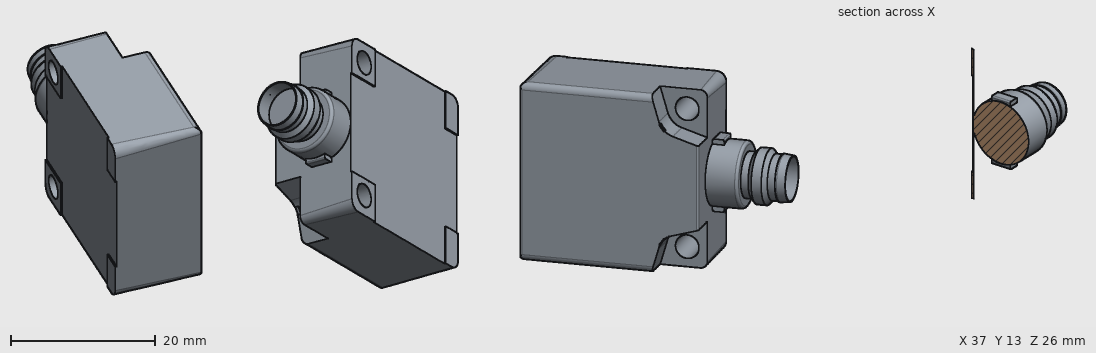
import cadquery as cq
import math


total_length = 37.0
housing_side = 26.0
housing_depth = 13.0
front_corner_radius = 1.48
back_corner_radius = 0.8
draft_inset = 0.1
long_back_round = 0.95
short_back_round = 0.25

pad_height = 0.22
pad_width_near = 5.7
pad_width_far = 3.0
pad_length = 5.6

hole_diameter = 3.4
hole_inset = 3.0
ear_thickness = 8.75
notch_radius = 2.92
notch_angle = 16.5

slot_angle = 36.0
slot_width = 1.15
slot_depth = 0.07
slot_length = 0.55

axis_y = 5.0
tip_radius = 3.25
lip_radius = 3.4
neck_radius = 3.3
ring_radius = 4.0
collar_radius = 4.77
lip_start = 1.22
lip_end = 1.45
ring_foot_start = 2.55
ring_start = 3.22
ring_end = 4.65
ring_foot_end = 5.33
collar_start = 6.4
collar_round = 0.45
bore_radius = 3.1
bore_depth = 2.5

key_start = 9.32
key_width = 3.2
key_reach = 5.25
key_round = 0.22

half_side = housing_side / 2
half_back = half_side - draft_inset
housing_left = total_length - housing_side
housing_mid = housing_left + half_side
hole_x = housing_left + hole_inset
hole_z = half_side - hole_inset
overlap = 0.37


def box(x_range, y_range, z_range):
    """Box between the given limits."""
    limits = (x_range, y_range, z_range)
    sizes = [high - low for low, high in limits]
    corner = tuple(low for low, high in limits)
    return cq.Workplane("XY").box(*sizes, centered=False).translate(corner)


def both_sides(shape):
    """The shape together with its mirror image below Z = 0."""
    return shape.union(shape.mirror("XY"))


def rounded_back_prism(edge_direction, radius):
    """Prism matching two drafted housing sides, with its two back edges rounded."""
    plane = {"X": "YZ", "Z": "XY"}[edge_direction]
    outline = [
        (-half_side, 0),
        (half_side, 0),
        (half_back, housing_depth),
        (-half_back, housing_depth),
    ]
    if edge_direction == "X":
        outline = [(y, z) for z, y in outline]
    return (
        cq.Workplane(plane)
        .polyline(outline)
        .close()
        .extrude(half_side + overlap, both=True)
        .faces(">Y")
        .edges("|" + edge_direction)
        .fillet(radius)
        .translate((housing_mid, 0, 0))
    )


def make_housing():
    """Drafted block whose corner radius shrinks toward the back, with rounded back edges."""
    front = cq.Sketch().rect(housing_side, housing_side).vertices().fillet(front_corner_radius)
    back = cq.Sketch().rect(2 * half_back, 2 * half_back).vertices().fillet(back_corner_radius)
    to_back = cq.Location(cq.Vector(0, 0, -housing_depth))
    block = (
        cq.Workplane("XZ", origin=(housing_mid, 0, 0))
        .placeSketch(front, back.moved(to_back))
        .loft(ruled=True)
    )
    for edge_direction, radius in (("X", long_back_round), ("Z", short_back_round)):
        block = block.intersect(rounded_back_prism(edge_direction, radius))
    return block


def make_front_recess():
    """Shallow cross between the four front pads."""
    depth_range = (-overlap, pad_height)
    long_band = box(
        (housing_left + pad_width_near, total_length - pad_width_far),
        depth_range,
        (-half_side - overlap, half_side + overlap),
    )
    inner_z = half_side - pad_length
    cross_band = box(
        (housing_left - overlap, total_length + overlap),
        depth_range,
        (-inner_z, inner_z),
    )
    return long_band.union(cross_band)


def make_ear_notch():
    """Upper notch behind the ear: two leaning walls joined by an arc about the hole axis."""
    lean = math.radians(notch_angle)
    outer_x = housing_left - overlap
    outer_z = half_side + overlap

    lower_tangent = (
        hole_x + notch_radius * math.sin(lean),
        hole_z - notch_radius * math.cos(lean),
    )
    upper_tangent = (
        hole_x + notch_radius * math.cos(lean),
        hole_z - notch_radius * math.sin(lean),
    )
    arc_middle = (
        hole_x + notch_radius * math.sqrt(0.5),
        hole_z - notch_radius * math.sqrt(0.5),
    )
    lower_end = (outer_x, lower_tangent[1] - (lower_tangent[0] - outer_x) * math.tan(lean))
    upper_end = (upper_tangent[0] + (outer_z - upper_tangent[1]) * math.tan(lean), outer_z)

    return (
        cq.Workplane("XZ", origin=(0, ear_thickness, 0))
        .moveTo(*lower_end)
        .lineTo(*lower_tangent)
        .threePointArc(arc_middle, upper_tangent)
        .lineTo(*upper_end)
        .lineTo(outer_x, outer_z)
        .close()
        .extrude(-(housing_depth - ear_thickness + overlap))
    )


def make_notch_slot():
    """Small slot running outward from the upper hole axis into the notch arc."""
    return (
        box(
            (0, notch_radius + slot_depth),
            (housing_depth - slot_length, housing_depth + overlap),
            (-slot_width / 2, slot_width / 2),
        )
        .rotate((0, 0, 0), (0, 1, 0), slot_angle)
        .translate((hole_x, 0, hole_z))
    )


def make_mounting_hole():
    """Upper through hole along Y."""
    return (
        cq.Workplane("XZ", origin=(hole_x, -overlap, hole_z))
        .circle(hole_diameter / 2)
        .extrude(-(housing_depth + 2 * overlap))
    )


def make_connector():
    """Turned plug body, ending inside the housing."""
    collar_round_middle = (
        collar_start + collar_round * (1 - math.sqrt(0.5)),
        collar_radius - collar_round * (1 - math.sqrt(0.5)),
    )
    profile = (
        cq.Workplane("XY")
        .moveTo(bore_depth, 0)
        .lineTo(bore_depth, bore_radius)
        .lineTo(0, bore_radius)
        .lineTo(0, tip_radius)
        .lineTo(lip_start, lip_radius)
        .lineTo(lip_end, lip_radius)
        .lineTo(lip_end, neck_radius)
        .lineTo(ring_foot_start, neck_radius)
        .lineTo(ring_start, ring_radius)
        .lineTo(ring_end, ring_radius)
        .lineTo(ring_foot_end, neck_radius)
        .lineTo(collar_start, neck_radius)
        .lineTo(collar_start, collar_radius - collar_round)
        .threePointArc(collar_round_middle, (collar_start + collar_round, collar_radius))
        .lineTo(housing_left + overlap, collar_radius)
        .lineTo(housing_left + overlap, 0)
        .close()
    )
    return profile.revolve(360, (0, 0, 0), (1, 0, 0)).translate((0, axis_y, 0))


def make_key():
    """Upper key: a flat block on the collar with its two outer edges along Y rounded."""
    return (
        box(
            (key_start, housing_left),
            (axis_y - key_width / 2, axis_y + key_width / 2),
            (0, key_reach),
        )
        .faces(">Z")
        .edges("|Y")
        .fillet(key_round)
    )


result = (
    make_housing()
    .cut(make_front_recess())
    .cut(both_sides(make_ear_notch()))
    .cut(both_sides(make_notch_slot()))
    .cut(both_sides(make_mounting_hole()))
    .union(make_connector())
    .union(both_sides(make_key()))
)